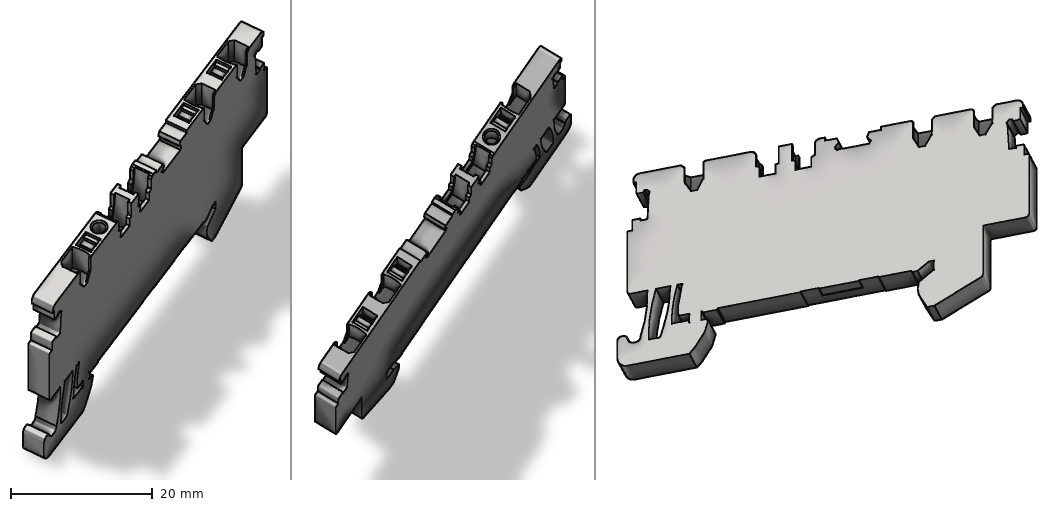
import cadquery as cq
import math

length = 61.1
thickness = 3.5
height = 33.35
side_x = thickness / 2

body_max_y = length / 2
body_length = 59.6
body_min_y = body_max_y - body_length
body_mid_y = (body_max_y + body_min_y) / 2
half_body = body_length / 2
shelf_z = 12.5
underside_z = 7.0
lip_z = 6.8
corner_r = 0.55
small_r = 0.25
overlap = 0.25


def rounded_outline(corners):
    """Closed YZ wire; every corner is (y, z) or (y, z, radius)."""
    count = len(corners)
    stretches = []
    for i in range(count):
        here = cq.Vector(*corners[i][:2])
        radius = corners[i][2] if len(corners[i]) > 2 else 0
        if radius == 0:
            stretches.append((here, here, here))
            continue
        back = (cq.Vector(*corners[i - 1][:2]) - here).normalized()
        ahead = (cq.Vector(*corners[(i + 1) % count][:2]) - here).normalized()
        half_angle = back.getAngle(ahead) / 2
        setback = radius / math.tan(half_angle)
        bisector = (back + ahead).normalized()
        middle = here + bisector * (radius / math.sin(half_angle) - radius)
        stretches.append((here + back * setback, middle, here + ahead * setback))

    wire = cq.Workplane("YZ").moveTo(stretches[0][2].x, stretches[0][2].y)
    for start, middle, end in stretches[1:] + stretches[:1]:
        wire = wire.lineTo(start.x, start.y)
        if (end - start).Length > 0:
            wire = wire.threePointArc((middle.x, middle.y), (end.x, end.y))
    return wire.close()


def plate(corners, x_from=-side_x, x_to=side_x):
    """Prism with a YZ outline, spanning x_from to x_to."""
    return rounded_outline(corners).extrude(x_to - x_from).translate((x_from, 0, 0))


def block(x_range, y_range, z_range):
    """Box given by its (low, high) limits along each axis."""
    low = (x_range[0], y_range[0], z_range[0])
    size = [x_range[1] - x_range[0], y_range[1] - y_range[0], z_range[1] - z_range[0]]
    return cq.Workplane("XY").box(*size, centered=False).translate(low)


shoulder = [
    (0.9, 0.0, 1.0),
    (0.9, 1.45),
    (1.35, 1.45),
    (1.35, 3.35),
    (1.8, 3.5),
    (2.4, 3.5),
    (2.55, 3.1),
    (2.95, 3.1, 0.2),
    (3.35, 3.6),
    (3.25, 3.85),
    (3.0, 8.3, small_r),
    (1.95, 8.3),
    (1.95, 7.95),
    (0.75, 7.95, small_r),
    (0.75, 9.8),
    (0.0, 9.8, small_r),
    (0.0, height - shelf_z, corner_r),
]


def shoulder_corners(side):
    """Shoulder corners from the top down, on the +Y (1) or -Y (-1) end."""
    corners = []
    for inset, depth, *radius in shoulder:
        corners.append((body_mid_y + side * (half_body - inset), height - depth, *radius))
    return corners


fixed_foot_y = 23.7
body_corners = [
    *shoulder_corners(1),
    (fixed_foot_y, shelf_z, small_r),
    (fixed_foot_y, underside_z),
    (15.2, underside_z),
    (14.0, lip_z),
    (13.2, lip_z),
    (13.1, underside_z),
    (-15.65, underside_z),
    (-15.75, lip_z),
    (-17.85, lip_z),
    (-17.95, underside_z),
    (-21.5, underside_z, 0.3),
    (-21.5, 8.75),
    (-20.9, shelf_z),
    *reversed(shoulder_corners(-1)),
]
part = plate(body_corners)

notch_top_z = 8.05
notch_wall_y = 16.4
notch_floor_z = 6.5
part = part.union(plate([
    (fixed_foot_y, shelf_z),
    (fixed_foot_y, 3.65, 0.6),
    (16.5, 0.1),
    (15.4, 0.1),
    (14.2, 2.55),
    (14.0, 3.6, 0.25),
    (14.2, 4.8, 0.25),
    (notch_wall_y, notch_floor_z),
    (notch_wall_y, shelf_z),
]))
part = part.cut(plate([
    (notch_wall_y, notch_top_z),
    (15.7, notch_top_z, 0.3),
    (14.0, lip_z),
    (14.0, 4.9),
    (14.25, 4.9),
    (notch_wall_y, notch_floor_z),
]))

wide_notch_x = -0.25
part = part.cut(plate([
    (17.2, notch_top_z, small_r),
    (17.2, 5.3, small_r),
    (15.5, 5.3),
    (14.0, 4.15),
    (14.0, lip_z),
    (15.7, notch_top_z),
], -side_x, wide_notch_x))

latch_z = 5.85
latch_end_y = -length / 2
latch_step_y = -19.9
valley_y = -27.1
valley_wall_z = 4.65


def spring_leg(top_y, bottom_y, middles, bottom_z):
    """Leg with two curved sides; every pair is ordered (+Y side, -Y side)."""
    return (
        cq.Workplane("YZ")
        .moveTo(top_y[0], shelf_z + overlap)
        .lineTo(top_y[0], shelf_z)
        .threePointArc(middles[0], (bottom_y[0], bottom_z))
        .lineTo(bottom_y[1], bottom_z)
        .threePointArc(middles[1], (top_y[1], shelf_z))
        .lineTo(top_y[1], shelf_z + overlap)
        .close()
        .extrude(thickness)
        .translate((-side_x, 0, 0))
    )


inner_leg = spring_leg((-21.6, -22.65), (-22.5, -23.65), ((-22.2, 9.95), (-22.95, 8.9)), latch_z)
outer_leg = spring_leg((-24.8, -26.1), (-25.9, valley_y), ((-25.6, 8.75), (-26.4, 7.75)), valley_wall_z)
latch = plate([
    (latch_step_y, latch_z),
    (latch_step_y, 5.5),
    (-17.35, 5.5, 0.1),
    (-17.05, 5.2),
    (-17.6, 3.25, 1.2),
    (-19.1, 0.8, 0.6),
    (-19.85, 0.0),
    (latch_end_y, 0.0, 1.6),
    (latch_end_y, 5.4, 0.75),
    (-29.0, 5.4, 0.75),
    (-29.0, 3.85, 1.0),
    (-27.05, 3.85, 0.75),
    (valley_y, valley_wall_z),
    (-25.9, valley_wall_z),
    (-25.9, 3.85, small_r),
    (-24.2, 3.85, 0.35),
    (-23.65, latch_z),
])
part = part.union(inner_leg).union(outer_leg).union(latch)

rib_min_x = -0.85
rib_min_z = 5.3
rib_y = (-19.85, -18.1)
part = part.union(block((rib_min_x, side_x), rib_y, (rib_min_z, underside_z + overlap)))

relief_depth = 0.1
relief = block((-side_x, side_x), (-3.35, 8.2), (underside_z, underside_z + relief_depth))
relief_pad = block((0, side_x), (-0.7, 5.3), (underside_z, underside_z + relief_depth))
part = part.cut(relief.cut(relief_pad))

seat_mid_y = 4.4
seat_half = [(4.15, 0.0), (4.15, 0.55), (2.4, 0.55), (2.1, 1.35), (2.7, 2.1), (2.4, 2.55)]
seat_corners = [(seat_mid_y + half, height - depth) for half, depth in seat_half]
seat_corners += [(seat_mid_y - half, height - depth) for half, depth in reversed(seat_half)]
part = part.cut(plate(seat_corners))

post_y = -5.6
slot_floor_z = 28.7
bay_floor_z = 27.5
shoulder_z = 30.4
slot_outline = [
    (1.0, height),
    (1.0, shoulder_z),
    (1.45, shoulder_z - 0.1),
    (1.45, slot_floor_z),
    (3.85, slot_floor_z),
    (3.85, shoulder_z - 0.1),
    (4.4, shoulder_z + 0.3),
    (4.4, height - 0.5),
    (4.7, height - 0.1),
    (5.1, height),
]
bay_outline = [
    (0.55, height),
    (0.85, shoulder_z),
    (1.45, bay_floor_z),
    (4.0, bay_floor_z),
    (4.5, shoulder_z),
    (4.8, height),
]
bay_x = 1.15
for side in (1, -1):
    part = part.cut(plate([(post_y + side * y, z) for y, z in slot_outline]))
    bay = [(post_y + side * y, z) for y, z in bay_outline]
    part = part.cut(plate(bay, -bay_x, bay_x))

entry_length = 3.9
entry_depth = 4.9
entry_min_x = -1.4
entry_max_x = 1.45
entry_chamfer = 0.6
entry_bulge = 0.2
step_x = (-1.15, 1.3)
step_gap = 0.35
step_drop = 0.55
step_starts = (0.0, 0.6, 1.6, 1.95, 2.25)
opening_length = 2.7


def wire_entry(outer_y, inward):
    """Pocket from its outer end, with a tapered gap through the +X wall."""
    inner_y = outer_y + inward * entry_length
    pocket = (
        cq.Workplane("XY", origin=(0, 0, height - entry_depth))
        .moveTo(entry_max_x, outer_y)
        .lineTo(entry_min_x + entry_chamfer, outer_y)
        .lineTo(entry_min_x, outer_y + inward * entry_chamfer)
        .lineTo(entry_min_x, inner_y - inward * entry_bulge)
        .threePointArc(
            ((entry_min_x + entry_max_x) / 2, inner_y),
            (entry_max_x, inner_y - inward * entry_bulge),
        )
        .close()
        .extrude(entry_depth)
    )
    gap = [
        (0.2, 0.0),
        (0.7, 0.5),
        (0.7, 3.05),
        (1.7, entry_depth),
        (2.55, entry_depth),
        (3.5, 3.05),
        (3.5, 0.25),
        (3.7, 0.0),
    ]
    corners = [(outer_y + inward * run, height - depth) for run, depth in gap]
    return pocket.union(plate(corners, entry_max_x, side_x))


def release_opening(max_y):
    """Stairs going down toward -Y."""
    steps = cq.Workplane("XY")
    min_y = max_y - opening_length
    for i, start in enumerate(step_starts):
        tread_z = height - (i + 1) * step_drop
        steps = steps.union(block(step_x, (min_y, max_y - start), (tread_z, height)))
    return steps


for outer_y, inward in ((25.8, -1), (16.8, -1), (-21.25, 1)):
    part = part.cut(wire_entry(outer_y, inward))
    near_y = outer_y + inward * (entry_length + step_gap)
    part = part.cut(release_opening(max(near_y, near_y + inward * opening_length)))

test_hole_y = -12.6
test_hole_r = 1.0
rim_chamfer = 0.25
test_hole_depth = 3.05
test_hole = (
    cq.Workplane("XZ")
    .moveTo(0, height)
    .lineTo(test_hole_r + rim_chamfer, height)
    .lineTo(test_hole_r, height - rim_chamfer)
    .lineTo(test_hole_r, height - test_hole_depth)
    .lineTo(0, height - test_hole_depth)
    .close()
    .revolve(360, (0, 0, 0), (0, 1, 0))
    .translate((0, test_hole_y, 0))
)
result = part.cut(test_hole)